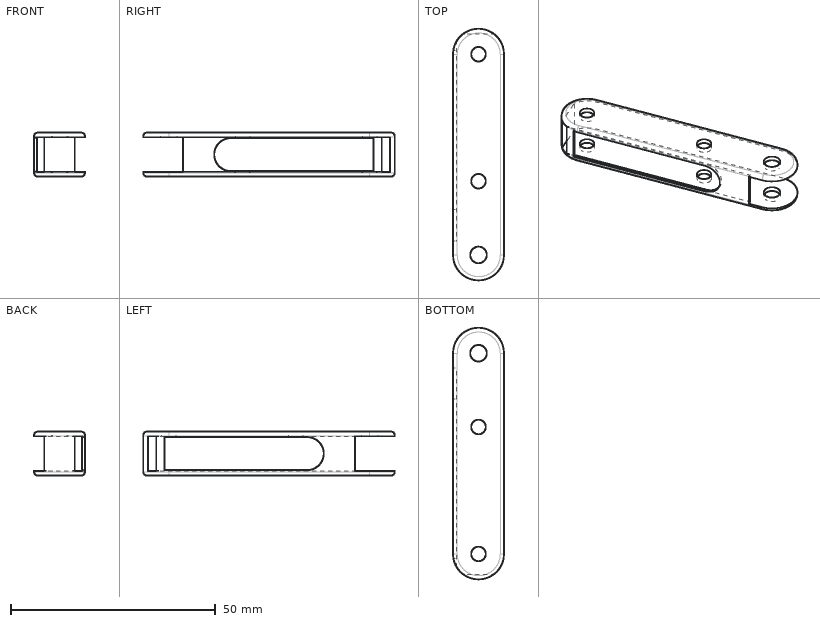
import cadquery as cq

WIDTH = 12.5
LENGTH = 61.5
HEIGHT = 10.8
EDGE_FILLET = 1.0

PLATE_THICKNESS = 1.2
SIDE_WALL_THICKNESS = 0.8
END_WALL_THICKNESS = 1.25

FORK_DEPTH = 9.75

WINDOW_HEIGHT = 8.0
WINDOW_START = 5.25
WINDOW_LENGTH = 38.85

PIVOT_HOLE_DIAMETER = 4.0
PIN_HOLE_DIAMETER = 3.5
MIDDLE_HOLE_SPACING = 18.0

END_RADIUS = WIDTH / 2
END_CENTRE_Y = LENGTH / 2 - END_RADIUS
CAVITY_HEIGHT = HEIGHT - 2 * PLATE_THICKNESS


def box_between(x_min, x_max, y_min, y_max, height):
    """Box with the given X and Y limits, centred on Z = 0."""
    return (
        cq.Workplane("XY")
        .box(x_max - x_min, y_max - y_min, height)
        .translate(((x_min + x_max) / 2, (y_min + y_max) / 2, 0))
    )


def make_body():
    """Solid round-ended bar with its top and bottom rims rounded."""
    bar = cq.Workplane("XY").slot2D(LENGTH, WIDTH, 90).extrude(HEIGHT / 2, both=True)
    return bar.faces("|Z").edges().fillet(EDGE_FILLET)


def make_cavity():
    """Space between the plates, open at +X and leaving the -X side wall and the +Y end wall."""
    return box_between(
        -WIDTH / 2 + SIDE_WALL_THICKNESS,
        WIDTH / 2,
        -LENGTH / 2,
        LENGTH / 2 - END_WALL_THICKNESS,
        CAVITY_HEIGHT,
    )


def make_fork_gap():
    """Full-width gap between the plates at the -Y end."""
    return box_between(
        -WIDTH / 2,
        WIDTH / 2,
        -LENGTH / 2,
        -LENGTH / 2 + FORK_DEPTH,
        CAVITY_HEIGHT,
    )


def make_window():
    """Cutter for the window through the -X side wall."""
    half_height = WINDOW_HEIGHT / 2
    square_end_y = LENGTH / 2 - WINDOW_START
    round_end_y = square_end_y - WINDOW_LENGTH
    arc_centre_y = round_end_y + half_height
    return (
        cq.Workplane("YZ", origin=(-WIDTH / 2, 0, 0))
        .moveTo(square_end_y, half_height)
        .lineTo(arc_centre_y, half_height)
        .threePointArc((round_end_y, 0), (arc_centre_y, -half_height))
        .lineTo(square_end_y, -half_height)
        .close()
        .extrude(SIDE_WALL_THICKNESS)
    )


def make_hole(centre_y, diameter):
    """Cutter for a vertical hole through both plates."""
    return cq.Workplane("XY").center(0, centre_y).circle(diameter / 2).extrude(HEIGHT / 2, both=True)


result = make_body().cut(make_cavity()).cut(make_fork_gap()).cut(make_window())

holes = [
    (-END_CENTRE_Y, PIVOT_HOLE_DIAMETER),
    (-END_CENTRE_Y + MIDDLE_HOLE_SPACING, PIN_HOLE_DIAMETER),
    (END_CENTRE_Y, PIN_HOLE_DIAMETER),
]
for hole_y, hole_diameter in holes:
    result = result.cut(make_hole(hole_y, hole_diameter))